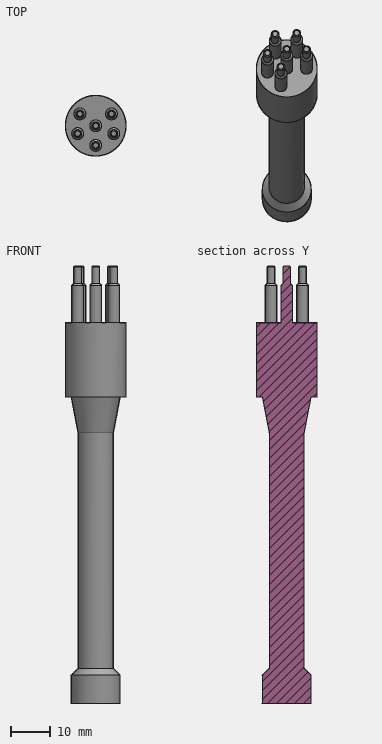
import cadquery as cq
import math

TOTAL_HEIGHT = 111.5
PIN_TIP_LENGTH = 4.5
PIN_HEIGHT = 14.5
BODY_LENGTH = 19.0
TAPER_LENGTH = 9.0
COLLAR_LENGTH = 7.2

BODY_DIAMETER = 15.5
COLLAR_DIAMETER = 12.5
STEM_DIAMETER = 9.0
SLEEVE_DIAMETER = 3.0
TIP_DIAMETER = 2.0

TIP_CHAMFER = 0.3

PIN_CIRCLE_RADIUS = 5.0
UPPER_PIN_ANGLE = 36.8
LOWER_PIN_ANGLE = -23.5
FRONT_PIN_ANGLE = -90.0

BODY_TOP = TOTAL_HEIGHT - PIN_HEIGHT
BODY_BOTTOM = BODY_TOP - BODY_LENGTH
TAPER_BOTTOM = BODY_BOTTOM - TAPER_LENGTH
SLEEVE_LENGTH = PIN_HEIGHT - PIN_TIP_LENGTH
BODY_RADIUS = BODY_DIAMETER / 2
COLLAR_RADIUS = COLLAR_DIAMETER / 2
STEM_RADIUS = STEM_DIAMETER / 2
SLEEVE_RADIUS = SLEEVE_DIAMETER / 2
TIP_RADIUS = TIP_DIAMETER / 2
COLLAR_SHOULDER_TOP = COLLAR_LENGTH + COLLAR_RADIUS - STEM_RADIUS
SLEEVE_SHOULDER = SLEEVE_LENGTH - (SLEEVE_RADIUS - TIP_RADIUS)


def make_handle():
    """Revolve the collar, stem, taper and body about the Z axis."""
    return (
        cq.Workplane("XZ")
        .lineTo(COLLAR_RADIUS, 0)
        .lineTo(COLLAR_RADIUS, COLLAR_LENGTH)
        .lineTo(STEM_RADIUS, COLLAR_SHOULDER_TOP)
        .lineTo(STEM_RADIUS, TAPER_BOTTOM)
        .lineTo(COLLAR_RADIUS, BODY_BOTTOM)
        .lineTo(BODY_RADIUS, BODY_BOTTOM)
        .lineTo(BODY_RADIUS, BODY_TOP)
        .lineTo(0, BODY_TOP)
        .close()
        .revolve(360, (0, 0), (0, 1))
    )


def pin_positions():
    """Return the centre pin followed by the five pins around it."""
    angles = (
        UPPER_PIN_ANGLE,
        LOWER_PIN_ANGLE,
        FRONT_PIN_ANGLE,
        180.0 - LOWER_PIN_ANGLE,
        180.0 - UPPER_PIN_ANGLE,
    )
    positions = [(0.0, 0.0)]
    for angle in angles:
        x = PIN_CIRCLE_RADIUS * math.cos(math.radians(angle))
        y = PIN_CIRCLE_RADIUS * math.sin(math.radians(angle))
        positions.append((x, y))
    return positions


def make_pin():
    """Revolve a sleeve that narrows to a thinner tip with a chamfered end."""
    return (
        cq.Workplane("XZ")
        .lineTo(SLEEVE_RADIUS, 0)
        .lineTo(SLEEVE_RADIUS, SLEEVE_SHOULDER)
        .lineTo(TIP_RADIUS, SLEEVE_LENGTH)
        .lineTo(TIP_RADIUS, PIN_HEIGHT - TIP_CHAMFER)
        .lineTo(TIP_RADIUS - TIP_CHAMFER, PIN_HEIGHT)
        .lineTo(0, PIN_HEIGHT)
        .close()
        .revolve(360, (0, 0), (0, 1))
    )


def add_pins(part):
    """Stand a pin on top of the body at each pin position."""
    pin = make_pin()
    for x, y in pin_positions():
        part = part.union(pin.translate((x, y, BODY_TOP)))
    return part


result = add_pins(make_handle())